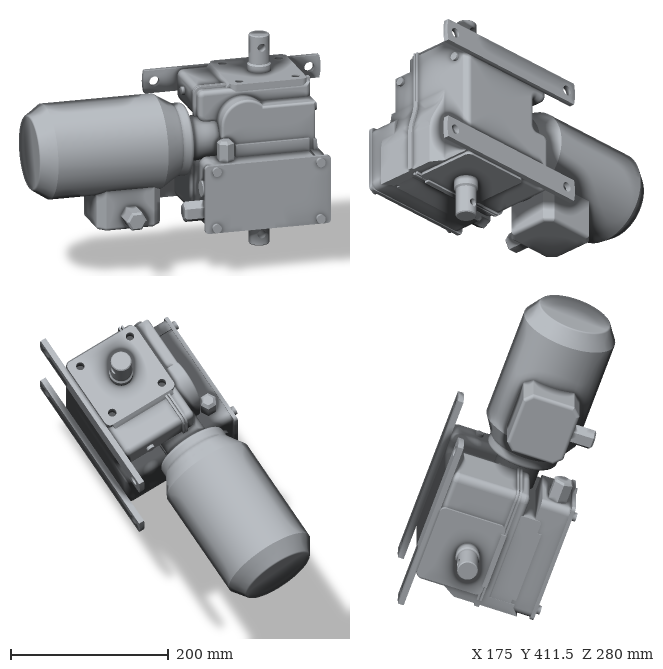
import cadquery as cq
import math


SHAFT_RADIUS = 13.0
SHAFT_HALF_LENGTH = 140.0
SHAFT_CHAMFER = 1.2
COLLAR_RADIUS = 15.2
COLLAR_TOP = 102.5
COLLAR_CHAMFER = 2.5
CROSS_HOLE_RADIUS = 5.5
CROSS_HOLE_FROM_END = 15.2

HOUSING_LEFT = -52.5
HOUSING_RIGHT = 51.0
HOUSING_BACK = 53.0
HOUSING_TOP = 85.5
HOUSING_BOTTOM = -84.8
UPPER_FRONT = -94.2
LOWER_FRONT = -98.5
RECESS_FLOOR = -72.0
RECESS_TOP = 43.5
RECESS_BOTTOM = -3.0
UPPER_ROUND = 7.0
RECESS_LIP_ROUND = 10.0
INNER_ROUND = 5.0
LEFT_ROUND = 8.2
RIGHT_ROUND = 5.8

WEB_LEFT = 8.2
WEB_TOP = 2.0
WEB_FRONT = -96.5
WEB_CHAMFER = 6.0

PLATE_WIDTH = 103.3
PLATE_TOP = 91.5
PLATE_ROOT = 78.0
PLATE_FRONT = -51.5
PLATE_BACK = 49.8
PLATE_CORNER = 7.5
PLATE_FLARE = 5.0
LOWER_PAD_BOTTOM = -88.5
PLATE_HOLE_RADIUS = 5.5
PLATE_HOLE_PITCH = 75.0
PLATE_HOLE_DEPTH = 12.5

BULGE_BACK = 63.5
BULGE_LEFT = -12.8
BULGE_FULL_LEFT = 3.3
BULGE_FULL_RIGHT = 88.5
BULGE_RIGHT = 80.2
BULGE_TOP = 18.5
BULGE_FULL_TOP = -33.0

RIB_PLANE_X = 35.0
RIB_WIDTH = 6.5
RIB_GAP = 1.5
RIB_HEIGHT = 3.3
RIB_PAD_BACK = 35.5
RIB_PAD_FRONT = -40.7
RIB_PAD_BOTTOM = -91.0

COVER_RIGHT = 75.0
COVER_FRONT = -71.0
COVER_TOP = 77.5
COVER_RADIUS = 33.0
COVER_STEP_Y = -17.5
COVER_BACK_TOP = 67.0
COVER_EDGE_ROUND = 3.3
LEDGE_RIGHT = 80.2
LEDGE_FRONT = -54.5
LEDGE_BACK = 43.2
LEDGE_TOP = 20.5

BOX_LEFT = 66.3
BOX_STEP = 1.2
BOX_TOP = 5.8
BOX_BOTTOM = -84.5
BOX_BACK = 61.7
BOX_ROUND = 9.0
GROOVE_FRONT = 42.0
GROOVE_WIDTH = 3.3
GROOVE_DEPTH = 2.0
END_PLATE_LEFT = 105.0
END_PLATE_THICKNESS = 5.0
END_PLATE_BACK = 63.0
END_PLATE_FRONT = -103.3
END_PLATE_ROUND = 5.0
BOLT_RADIUS = 5.8
BOLT_HEIGHT = 5.0
BOLT_INSET_Z = 7.5
BOLT_INSET_Y = 14.5

FITTING_X = 86.5
FILLER_Y = -70.0
FILLER_CORNER_RADIUS = 11.0
FILLER_TOP = 31.3
BOSS_Z = -31.0
BOSS_RADIUS = 10.3
BOSS_FRONT = -102.5
OUTLET_Z = -59.5
OUTLET_CORNER_RADIUS = 13.5
OUTLET_FRONT = -126.0
HEX_CHAMFER = 2.5
FILLER_CHAMFER = 3.5

FRONT_SCREW_Z = 66.5
BACK_SCREW_Z = 57.5
SCREW_RADIUS = 5.5
SCREW_HEIGHT = 4.0
FRONT_SCREW_X = -17.3
BACK_SCREW_XS = (-33.0, 61.7)

MOTOR_X = 35.0
MOTOR_Z = 20.5
NECK_RADIUS = 29.0
NECK_BACK = -57.5
FLANGE_BACK = -108.5
FLANGE_FRONT = -123.5
FLANGE_RADIUS = 46.5
FLANGE_ROUND = 5.0
MOTOR_RADIUS = 61.5
MOTOR_BODY_BACK = -148.0
MOTOR_BODY_FRONT = -294.0
MOTOR_END = -314.5
MOTOR_END_RADIUS = 47.7
MOTOR_END_ROUND = 3.0

TERMINAL_WIDTH = 75.7
TERMINAL_BACK = -149.8
TERMINAL_FRONT = -233.7
TERMINAL_BOTTOM = -81.0
TERMINAL_CHAMFER = 10.3
TERMINAL_ROUND = 4.5
GLAND_Y = -191.5
GLAND_Z = -61.7
GLAND_FLATS = 23.0
GLAND_LENGTH = 30.0

RAIL_THICKNESS = 7.5
RAIL_HEIGHT = 30.0
RAIL_CENTER_Z = 70.5
RAIL_BACK = 97.0
RAIL_FRONT = -137.5
RAIL_END_BULGE = 1.5
RAIL_HOLE_RADIUS = 6.5
RAIL_HOLE_BACK = 82.5
RAIL_HOLE_FRONT = -122.5

OVERLAP = 4.0


def block(x_range, y_range, z_range):
    """Box between the given pairs of limits."""
    (x0, x1), (y0, y1), (z0, z1) = x_range, y_range, z_range
    return cq.Workplane("XY").box(x1 - x0, y1 - y0, z1 - z0, centered=False).translate((x0, y0, z0))


def hexagon(corner_radius, length, chamfer=HEX_CHAMFER, first_corner=90):
    """Hexagonal prism rising along +Z with its far end chamfered."""
    angles = [math.radians(first_corner + 60 * i) for i in range(6)]
    corners = [(corner_radius * math.cos(a), corner_radius * math.sin(a)) for a in angles]
    prism = cq.Workplane("XY").polyline(corners).close().extrude(length)
    return prism.faces(">Z").chamfer(chamfer)


def cylinder_y(radius, x, z, y_from, y_to):
    """Cylinder along Y between two Y positions."""
    length = abs(y_to - y_from)
    direction = cq.Vector(0, math.copysign(1, y_to - y_from), 0)
    return cq.Workplane(cq.Solid.makeCylinder(radius, length, cq.Vector(x, y_from, z), direction))


def outline_slab(grow, x_from, x_to):
    """Side outline of the housing, moved outward by grow and extruded along X."""
    back = HOUSING_BACK + grow
    top = HOUSING_TOP + grow
    bottom = HOUSING_BOTTOM - grow
    upper_front = UPPER_FRONT - grow
    lower_front = LOWER_FRONT - grow
    floor = RECESS_FLOOR - grow
    recess_top = RECESS_TOP - grow
    recess_bottom = RECESS_BOTTOM + grow
    upper_round = UPPER_ROUND + grow
    lip_round = RECESS_LIP_ROUND + grow
    inner_round = INNER_ROUND - grow
    return (
        cq.Workplane("YZ")
        .moveTo(back, bottom)
        .lineTo(back, top)
        .lineTo(upper_front + upper_round, top)
        .radiusArc((upper_front, top - upper_round), -upper_round)
        .lineTo(upper_front, recess_top + lip_round)
        .radiusArc((upper_front + lip_round, recess_top), -lip_round)
        .lineTo(floor - inner_round, recess_top)
        .radiusArc((floor, recess_top - inner_round), inner_round)
        .lineTo(floor, recess_bottom + inner_round)
        .radiusArc((floor - inner_round, recess_bottom), inner_round)
        .lineTo(lower_front + lip_round, recess_bottom)
        .radiusArc((lower_front, recess_bottom - lip_round), -lip_round)
        .lineTo(lower_front, bottom + lip_round)
        .radiusArc((lower_front + lip_round, bottom), -lip_round)
        .close()
        .extrude(x_to - x_from)
        .translate((x_from, 0, 0))
    )


def make_housing_block():
    """Main housing block with its left and right face edges rounded."""
    slab = outline_slab(0.0, HOUSING_LEFT, HOUSING_RIGHT)
    return slab.faces("<X").edges().fillet(LEFT_ROUND).faces(">X").edges().fillet(RIGHT_ROUND)


def make_neck_web():
    """Web that fills the recess floor under the motor neck, chamfered along its front."""
    web = block(
        (WEB_LEFT, HOUSING_RIGHT - RIGHT_ROUND),
        (WEB_FRONT, RECESS_FLOOR + OVERLAP),
        (RECESS_BOTTOM - RECESS_LIP_ROUND, WEB_TOP),
    )
    return web.edges("|X and >Z and <Y").chamfer(WEB_CHAMFER)


def make_shaft_plates():
    """Upper shaft plate with a sloped front foot, and the flat pad under the housing."""
    depth_range = (PLATE_FRONT, PLATE_BACK)
    right = HOUSING_LEFT + PLATE_WIDTH
    plate = block((HOUSING_LEFT, right), depth_range, (PLATE_ROOT, PLATE_TOP))
    plate = plate.edges("|Z").fillet(PLATE_CORNER)
    foot = (
        cq.Workplane("YZ")
        .polyline([
            (PLATE_FRONT, PLATE_TOP),
            (PLATE_FRONT - PLATE_FLARE, HOUSING_TOP),
            (PLATE_FRONT - PLATE_FLARE, PLATE_ROOT),
            (PLATE_FRONT, PLATE_ROOT),
        ])
        .close()
        .extrude(PLATE_WIDTH - 2 * PLATE_CORNER)
        .translate((HOUSING_LEFT + PLATE_CORNER, 0, 0))
    )
    pad = block((HOUSING_LEFT, RIB_PLANE_X), depth_range, (LOWER_PAD_BOTTOM, -PLATE_ROOT))
    pad = pad.edges("|Z").fillet(PLATE_CORNER)
    return plate.union(foot).union(pad)


def bulge_solid(grow, x_left, x_full_left, x_full_right, x_right):
    """Back bulge: an S-shaped side outline; its ends slant between root and full-depth X limits."""
    root = HOUSING_BACK - OVERLAP
    bottom = HOUSING_BOTTOM
    body = (
        cq.Workplane("YZ")
        .moveTo(root, bottom)
        .lineTo(BULGE_BACK + grow, bottom)
        .lineTo(BULGE_BACK + grow, BULGE_FULL_TOP)
        .spline([(HOUSING_BACK + grow, BULGE_TOP)], tangents=[(0, 1), (0, 1)], includeCurrent=True)
        .lineTo(root, BULGE_TOP)
        .close()
        .extrude(max(x_right, x_full_right) - x_left)
        .translate((x_left, 0, 0))
    )
    plan = (
        cq.Workplane("XY")
        .workplane(offset=bottom)
        .polyline([
            (x_left, root),
            (x_left, HOUSING_BACK + grow),
            (x_full_left, BULGE_BACK + grow),
            (x_full_right, BULGE_BACK + grow),
            (x_right, HOUSING_BACK + grow),
            (x_right, root),
        ])
        .close()
        .extrude(BULGE_TOP - bottom)
    )
    return body.intersect(plan)


def make_rib():
    """Joint rib that follows the housing outline and the back bulge."""
    left = RIB_PLANE_X - RIB_WIDTH / 2
    right = RIB_PLANE_X + RIB_WIDTH / 2
    gap_left = RIB_PLANE_X - RIB_GAP / 2
    gap_right = RIB_PLANE_X + RIB_GAP / 2
    band = outline_slab(RIB_HEIGHT, left, gap_left).union(outline_slab(RIB_HEIGHT, gap_right, right))
    back_band = bulge_solid(RIB_HEIGHT, left, left, right, right)
    pad = block((left, right), (RIB_PAD_FRONT, RIB_PAD_BACK), (RIB_PAD_BOTTOM, -PLATE_ROOT))
    return band.union(back_band).union(pad)


def make_worm_cover():
    """Worm cover with a round front and a lower flat back, and the ledge beside it."""
    left = HOUSING_RIGHT - 2 * OVERLAP
    axis_y = COVER_FRONT + COVER_RADIUS
    axis_z = COVER_TOP - COVER_RADIUS
    front = block((left, COVER_RIGHT), (COVER_FRONT, COVER_STEP_Y), (BOX_BOTTOM, axis_z))
    barrel_space = block((left, COVER_RIGHT), (COVER_FRONT, COVER_STEP_Y), (BOX_BOTTOM, COVER_TOP))
    barrel = (
        cq.Workplane("YZ", origin=(left, axis_y, axis_z))
        .circle(COVER_RADIUS)
        .extrude(COVER_RIGHT - left)
        .intersect(barrel_space)
    )
    front = front.union(barrel).faces(">X").edges(">Z").fillet(COVER_EDGE_ROUND)
    back = (
        block((left, COVER_RIGHT), (COVER_STEP_Y, HOUSING_BACK), (BOX_BOTTOM, COVER_BACK_TOP))
        .faces(">X").edges(">Z or >Y").fillet(COVER_EDGE_ROUND)
    )
    cover = front.union(back)
    ledge = block((left, LEDGE_RIGHT), (LEDGE_FRONT, LEDGE_BACK), (BOX_BOTTOM, LEDGE_TOP))
    return cover.union(ledge)


def make_side_box():
    """Side box with a groove across its top, its end plate and the four bolt heads."""
    box_top = BOX_TOP - BOX_STEP
    box = (
        block((BOX_LEFT, END_PLATE_LEFT), (LOWER_FRONT, BOX_BACK), (BOX_BOTTOM + BOX_STEP, box_top))
        .edges("|X").fillet(BOX_ROUND)
    )
    groove = block(
        (COVER_RIGHT, END_PLATE_LEFT),
        (GROOVE_FRONT, GROOVE_FRONT + GROOVE_WIDTH),
        (box_top - GROOVE_DEPTH, box_top),
    )
    plate_right = END_PLATE_LEFT + END_PLATE_THICKNESS
    plate = (
        block((END_PLATE_LEFT, plate_right), (END_PLATE_FRONT, END_PLATE_BACK), (BOX_BOTTOM, BOX_TOP))
        .edges("|X").fillet(END_PLATE_ROUND)
    )
    box = box.cut(groove).union(plate)
    for y in (END_PLATE_FRONT + BOLT_INSET_Y, END_PLATE_BACK - BOLT_INSET_Y):
        for z in (BOX_BOTTOM + BOLT_INSET_Z, BOX_TOP - BOLT_INSET_Z):
            bolt = cq.Workplane("YZ", origin=(plate_right, y, z)).circle(BOLT_RADIUS).extrude(BOLT_HEIGHT)
            box = box.union(bolt)
    return box


def make_box_fittings():
    """Filler plug on top of the side box, round boss and hexagonal outlet on its front."""
    filler = hexagon(FILLER_CORNER_RADIUS, FILLER_TOP - BOX_TOP + OVERLAP, FILLER_CHAMFER, first_corner=0)
    filler = filler.translate((FITTING_X, FILLER_Y, BOX_TOP - OVERLAP))
    boss = cylinder_y(BOSS_RADIUS, FITTING_X, BOSS_Z, LOWER_FRONT + OVERLAP, BOSS_FRONT)
    outlet_root = LOWER_FRONT + OVERLAP
    outlet = hexagon(OUTLET_CORNER_RADIUS, outlet_root - OUTLET_FRONT)
    outlet = outlet.rotate((0, 0, 0), (1, 0, 0), 90).translate((FITTING_X, outlet_root, OUTLET_Z))
    return filler.union(boss).union(outlet)


def make_screw_heads():
    """One screw head on the front of the housing and two on its back."""
    front_root = UPPER_FRONT + OVERLAP
    front_end = UPPER_FRONT - SCREW_HEIGHT
    heads = cylinder_y(SCREW_RADIUS, FRONT_SCREW_X, FRONT_SCREW_Z, front_root, front_end)
    for x in BACK_SCREW_XS:
        head = cylinder_y(SCREW_RADIUS, x, BACK_SCREW_Z, HOUSING_BACK - OVERLAP, HOUSING_BACK + SCREW_HEIGHT)
        heads = heads.union(head)
    return heads


def make_motor():
    """Neck, flange and motor body as one revolved shape."""
    motor = (
        cq.Workplane("XY")
        .moveTo(0, NECK_BACK)
        .lineTo(NECK_RADIUS, NECK_BACK)
        .lineTo(NECK_RADIUS, FLANGE_BACK)
        .lineTo(FLANGE_RADIUS - FLANGE_ROUND, FLANGE_BACK)
        .radiusArc((FLANGE_RADIUS, FLANGE_BACK - FLANGE_ROUND), FLANGE_ROUND)
        .lineTo(FLANGE_RADIUS, FLANGE_FRONT)
        .lineTo(MOTOR_RADIUS, MOTOR_BODY_BACK)
        .lineTo(MOTOR_RADIUS, MOTOR_BODY_FRONT)
        .lineTo(MOTOR_END_RADIUS, MOTOR_END)
        .lineTo(0, MOTOR_END)
        .close()
        .revolve(360, (0, 0, 0), (0, 1, 0))
    )
    motor = motor.faces("<Y").edges().fillet(MOTOR_END_ROUND)
    return motor.translate((MOTOR_X, 0, MOTOR_Z))


def make_terminal_box():
    """Terminal box with chamfered corners, and the cable gland on its right side."""
    left = MOTOR_X - TERMINAL_WIDTH / 2
    right = MOTOR_X + TERMINAL_WIDTH / 2
    box = (
        block((left, right), (TERMINAL_FRONT, TERMINAL_BACK), (TERMINAL_BOTTOM, MOTOR_Z - NECK_RADIUS))
        .edges("|Z").chamfer(TERMINAL_CHAMFER)
        .faces("<Z").edges().fillet(TERMINAL_ROUND)
    )
    gland = hexagon(GLAND_FLATS / math.sqrt(3), GLAND_LENGTH + OVERLAP)
    gland = gland.rotate((0, 0, 0), (0, 1, 0), 90).translate((right - OVERLAP, GLAND_Y, GLAND_Z))
    return box.union(gland)


def make_shaft():
    """Stepped output shaft that comes out above and below the housing."""
    shaft = cq.Workplane("XY").circle(SHAFT_RADIUS).extrude(SHAFT_HALF_LENGTH, both=True)
    shaft = shaft.faces("<Z or >Z").chamfer(SHAFT_CHAMFER)
    collar = cq.Workplane("XY").circle(COLLAR_RADIUS).extrude(COLLAR_TOP, both=True)
    collar = collar.faces("<Z or >Z").chamfer(COLLAR_CHAMFER)
    return shaft.union(collar)


def cut_holes(body):
    """Cross holes near the shaft ends and the four holes in the upper shaft plate."""
    hole_z = SHAFT_HALF_LENGTH - CROSS_HOLE_FROM_END
    for z in (-hole_z, hole_z):
        cross_hole = cq.Workplane("YZ").center(0, z).circle(CROSS_HOLE_RADIUS)
        body = body.cut(cross_hole.extrude(COLLAR_RADIUS, both=True))
    plate_holes = (
        cq.Workplane("XY")
        .workplane(offset=PLATE_TOP - PLATE_HOLE_DEPTH)
        .rect(PLATE_HOLE_PITCH, PLATE_HOLE_PITCH, forConstruction=True)
        .vertices()
        .circle(PLATE_HOLE_RADIUS)
        .extrude(PLATE_HOLE_DEPTH)
    )
    return body.cut(plate_holes)


def make_gearmotor():
    """Gear housing, motor and shaft as one solid."""
    body = make_housing_block()
    bulge = bulge_solid(0.0, BULGE_LEFT, BULGE_FULL_LEFT, BULGE_FULL_RIGHT, BULGE_RIGHT)
    parts = (
        make_neck_web(),
        make_shaft_plates(),
        bulge,
        make_rib(),
        make_worm_cover(),
        make_side_box(),
        make_box_fittings(),
        make_screw_heads(),
        make_motor(),
        make_terminal_box(),
        make_shaft(),
    )
    for part in parts:
        body = body.union(part)
    return cut_holes(body)


def make_rail(center_z):
    """Flat mounting rail with slightly bowed ends and a hole near each end."""
    half = RAIL_HEIGHT / 2
    back_corner = RAIL_BACK - RAIL_END_BULGE
    front_corner = RAIL_FRONT + RAIL_END_BULGE
    rail = (
        cq.Workplane("YZ")
        .moveTo(front_corner, -half)
        .lineTo(back_corner, -half)
        .threePointArc((RAIL_BACK, 0), (back_corner, half))
        .lineTo(front_corner, half)
        .threePointArc((RAIL_FRONT, 0), (front_corner, -half))
        .close()
        .pushPoints([(RAIL_HOLE_BACK, 0), (RAIL_HOLE_FRONT, 0)])
        .circle(RAIL_HOLE_RADIUS)
        .extrude(RAIL_THICKNESS)
    )
    return rail.translate((HOUSING_LEFT - RAIL_THICKNESS, 0, center_z))


gearmotor = make_gearmotor()
rails = [make_rail(z) for z in (-RAIL_CENTER_Z, RAIL_CENTER_Z)]

result = cq.Compound.makeCompound([gearmotor.val(), *[rail.val() for rail in rails]])